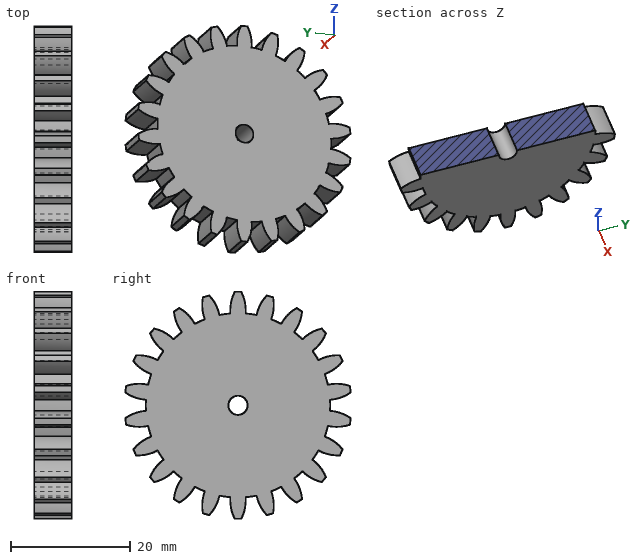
import cadquery as cq
import math

INCH = 25.4
TOOTH_COUNT = 22
DIAMETRAL_PITCH = 16
DEDENDUM_FACTOR = 1.25
FACE_WIDTH = INCH / 4
BORE_DIAMETER = INCH / 8

MODULE = INCH / DIAMETRAL_PITCH
PITCH_RADIUS = MODULE * TOOTH_COUNT / 2
TIP_RADIUS = PITCH_RADIUS + MODULE
ROOT_RADIUS = PITCH_RADIUS - DEDENDUM_FACTOR * MODULE

TIP_HALF_THICKNESS = 0.56
PITCH_HALF_THICKNESS = 1.15
ROOT_HALF_THICKNESS = 1.30

TOOTH_ANGLE = 2 * math.pi / TOOTH_COUNT

LEADING = -1
TRAILING = 1


def point_on_gear(radius, angle):
    """Point at a radius and an angle measured from +Z towards +Y, as (Y, Z)."""
    return (radius * math.sin(angle), radius * math.cos(angle))


def flank_point(radius, half_thickness, tooth_centre, side):
    """Flank point of one tooth; side is LEADING or TRAILING."""
    return point_on_gear(radius, tooth_centre + side * math.asin(half_thickness / radius))


def add_tooth(outline, tooth_centre):
    """Extend the outline over one tooth and along the root arc to the next tooth."""
    next_centre = tooth_centre + TOOTH_ANGLE
    return (
        outline
        .threePointArc(
            flank_point(PITCH_RADIUS, PITCH_HALF_THICKNESS, tooth_centre, LEADING),
            flank_point(TIP_RADIUS, TIP_HALF_THICKNESS, tooth_centre, LEADING),
        )
        .threePointArc(
            point_on_gear(TIP_RADIUS, tooth_centre),
            flank_point(TIP_RADIUS, TIP_HALF_THICKNESS, tooth_centre, TRAILING),
        )
        .threePointArc(
            flank_point(PITCH_RADIUS, PITCH_HALF_THICKNESS, tooth_centre, TRAILING),
            flank_point(ROOT_RADIUS, ROOT_HALF_THICKNESS, tooth_centre, TRAILING),
        )
        .threePointArc(
            point_on_gear(ROOT_RADIUS, tooth_centre + TOOTH_ANGLE / 2),
            flank_point(ROOT_RADIUS, ROOT_HALF_THICKNESS, next_centre, LEADING),
        )
    )


def make_gear_blank():
    """Toothed disc, centred on the origin, with one tooth pointing along +Z."""
    outline = cq.Workplane("YZ").moveTo(*flank_point(ROOT_RADIUS, ROOT_HALF_THICKNESS, 0, LEADING))
    for tooth in range(TOOTH_COUNT):
        outline = add_tooth(outline, tooth * TOOTH_ANGLE)
    return outline.close().extrude(FACE_WIDTH / 2, both=True)


def make_bore():
    """Cylinder that opens the shaft bore through the full face width."""
    return cq.Workplane("YZ").circle(BORE_DIAMETER / 2).extrude(FACE_WIDTH / 2, both=True)


result = make_gear_blank().cut(make_bore())